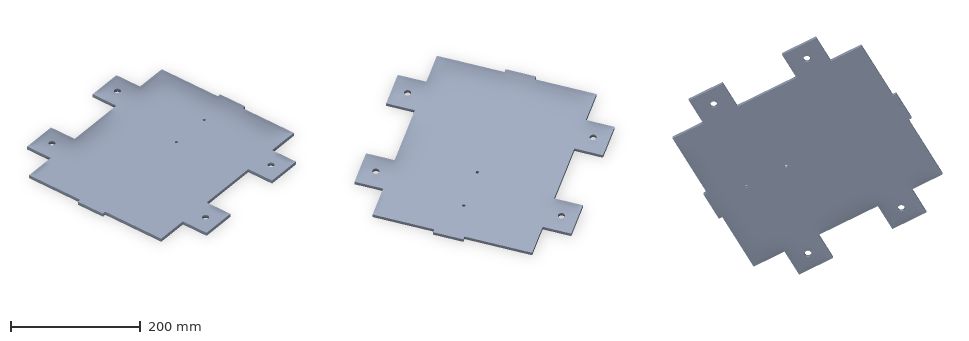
import cadquery as cq

thickness = 6.0
overall_width = 350.0
overall_depth = 345.0
body_width = 257.5
edge_tab_height = 6.0
body_depth = overall_depth - 2 * edge_tab_height

ear_width = 60.0
ear_offset = 82.2
ear_hole_diameter = 11.0
ear_hole_spacing = 299.5

edge_tab_width = 49.0
edge_tab_offset = 5.0

small_hole_diameter = 5.0
small_hole_positions = [(0, 37.5), (0, 107.5)]


def slab(width, depth, y_center):
    """Full-thickness rectangle centred on the Y axis, resting on Z = 0."""
    return cq.Workplane("XY").center(0, y_center).rect(width, depth).extrude(thickness)


def edge_tab(side):
    """Tab on the back (side = 1) or front (side = -1) edge, shifted towards side * X."""
    y_center = side * (body_depth + edge_tab_height) / 2
    tab = slab(edge_tab_width, edge_tab_height, y_center)
    return tab.translate((side * edge_tab_offset, 0, 0))


result = slab(body_width, body_depth, 0)

for side in (-1, 1):
    result = result.union(slab(overall_width, ear_width, side * ear_offset))
    result = result.union(edge_tab(side))

result = (
    result.faces(">Z")
    .workplane(origin=(0, 0, thickness))
    .rarray(ear_hole_spacing, 2 * ear_offset, 2, 2)
    .hole(ear_hole_diameter)
)

result = (
    result.faces(">Z")
    .workplane(origin=(0, 0, thickness))
    .pushPoints(small_hole_positions)
    .hole(small_hole_diameter)
)